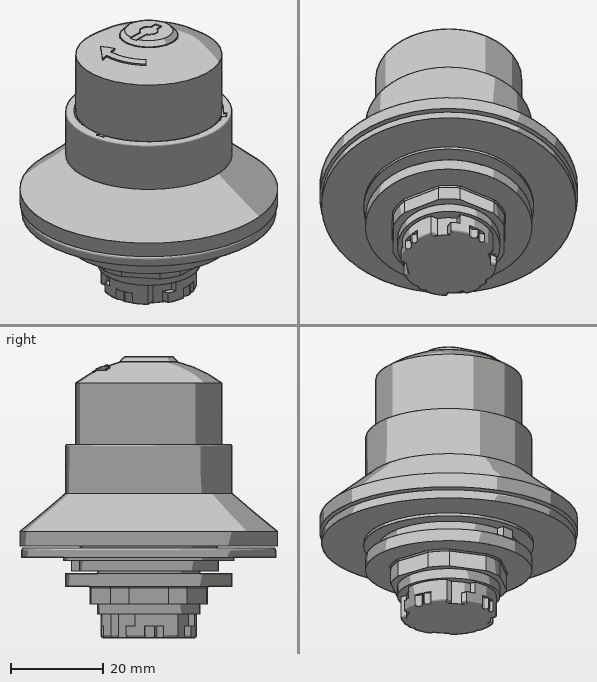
import cadquery as cq
import math

CORE_TOP = 5.1
NUT_BOTTOM = 7.3
WASHER_BOTTOM = 11.15
WASHER_TOP = 13.9
SPACER_BOTTOM = 14.4
SEAT_BOTTOM = 16.75
GASKET_BOTTOM = 17.4
GASKET_TOP = 19.5
RIM_BOTTOM = 19.85
RIM_TOP = 23.05
COLLAR_BOTTOM = 31.3
COLLAR_TOP = 41.85
KNOB_SHOULDER = 55.1
TOTAL_HEIGHT = 60.85

NECK_DIAMETER = 22.15
WASHER_DIAMETER = 36.0
SPACER_DIAMETER = 30.2
SEAT_DIAMETER = 36.8
GASKET_DIAMETER = 55.0
GAP_DIAMETER = 29.7
RIM_DIAMETER = 55.8
COLLAR_DIAMETER = 36.0
COLLAR_BORE_DIAMETER = 32.4

GASKET_EDGE_RADIUS = 0.6
COLLAR_EDGE_RADIUS = 0.4

COLLAR_RECESS_DEPTH = 0.3
NOTCH_DIAMETER = 34.0
NOTCH_WIDTH = 1.9
NOTCH_COUNT = 3

KNOB_FACETS = 36
KNOB_DIAMETER = 31.65
DOME_RADIUS = 26.15
DOME_CENTRE = KNOB_SHOULDER - math.sqrt(DOME_RADIUS**2 - (KNOB_DIAMETER / 2) ** 2)

LOCK_TOP_DIAMETER = 10.45
LOCK_DIAMETER = 12.5
LOCK_BORE_DIAMETER = 12.65
LOCK_CONE_HEIGHT = 1.05
LOCK_GAP_FLOOR = 59.3
KEY_DEPTH = 0.2
KEY_HOLE_DIAMETER = 4.0
KEY_SLOT_WIDTH = 1.7
KEY_SLOT_REACH = 3.4

ARROW_HEIGHT = 0.3
ARROW_RADIUS = 10.9
ARROW_HALF_ANGLE = 35.2
ARROW_NECK_ANGLE = 14.3
ARROW_SHAFT_WIDTH = 1.15
ARROW_HEAD_WIDTH = 3.35

TAB_WIDTH = 3.1
TAB_REACH = 16.75

NUT_ACROSS_FLATS = 24.0
NUT_CORNER_DIAMETER = 25.45
NUT_FLARE = 0.25
NUT_FLARE_HEIGHT = 0.35

CORE_DIAMETER = 18.2
LUG_DIAMETER = 20.7
LUG_COUNT = 4
LUG_START = -4.85
LUG_UPPER_START = -3.0
LUG_END = 6.3
LUG_ROOT = 5.5
LUG_LEDGE = 2.55
LUG_EDGE_RADIUS = 0.6
GRIP_GROOVES = ((1.0, 10.8, 1.15), (13.5, 10.65, 0.9))


def cylinder(diameter, bottom, top):
    return cq.Workplane("XY").workplane(offset=bottom).circle(diameter / 2).extrude(top - bottom)


def polar(radius, angle):
    """Point at an angle measured from -Y towards +X."""
    turn = math.radians(angle)
    return (radius * math.sin(turn), -radius * math.cos(turn))


def around_axis(shape, count):
    """The shape repeated evenly around the Z axis."""
    repeated = shape
    for index in range(1, count):
        repeated = repeated.union(shape.rotate((0, 0, 0), (0, 0, 1), index * 360 / count))
    return repeated


def make_bayonet():
    height = CORE_TOP
    lug_length = LUG_DIAMETER / 2 - LUG_ROOT
    lug = (
        cq.Workplane("XY")
        .box(LUG_END - LUG_START, lug_length, height, centered=False)
        .translate((LUG_START, -LUG_DIAMETER / 2, 0))
        .intersect(cylinder(LUG_DIAMETER, 0, height))
        .faces("<Z")
        .edges()
        .fillet(LUG_EDGE_RADIUS)
    )
    ledge = (
        cq.Workplane("XY")
        .box(LUG_UPPER_START - LUG_START, lug_length, height - LUG_LEDGE, centered=False)
        .translate((LUG_START, -LUG_DIAMETER / 2, LUG_LEDGE))
    )
    lug = lug.cut(ledge)
    for angle, distance, radius in GRIP_GROOVES:
        groove = cylinder(2 * radius, 0, LUG_LEDGE).translate((*polar(distance, angle), 0))
        lug = lug.cut(groove)
    return cylinder(CORE_DIAMETER, 0, height).union(around_axis(lug, LUG_COUNT))


def hexagon(across_flats, bottom, height, taper=0):
    """Hexagonal prism with two flats facing -X and +X."""
    across_corners = across_flats / math.cos(math.radians(30))
    return (
        cq.Workplane("XY")
        .workplane(offset=bottom)
        .polygon(6, across_corners)
        .extrude(height, taper=taper)
        .rotate((0, 0, 0), (0, 0, 1), 30)
    )


def make_nut():
    nut = hexagon(NUT_ACROSS_FLATS, NUT_BOTTOM, WASHER_BOTTOM - NUT_BOTTOM)
    nut = nut.intersect(cylinder(NUT_CORNER_DIAMETER, NUT_BOTTOM, WASHER_BOTTOM))
    flare_bottom = WASHER_BOTTOM - NUT_FLARE_HEIGHT
    flare_taper = -math.degrees(math.atan(NUT_FLARE / NUT_FLARE_HEIGHT))
    flare_cone = (
        cq.Workplane("XY")
        .workplane(offset=flare_bottom)
        .circle(NUT_CORNER_DIAMETER / 2)
        .extrude(NUT_FLARE_HEIGHT, taper=flare_taper)
    )
    flare = hexagon(NUT_ACROSS_FLATS, flare_bottom, NUT_FLARE_HEIGHT, flare_taper)
    return nut.union(flare.intersect(flare_cone))


def make_mounting_stack():
    """Neck, clamping washer, spacer with its tab, seat ring and gasket."""
    tab = (
        cq.Workplane("XY")
        .box(TAB_WIDTH, TAB_REACH, SEAT_BOTTOM - SPACER_BOTTOM, centered=(True, False, False))
        .translate((0, -TAB_REACH, SPACER_BOTTOM))
    )
    gasket = cylinder(GASKET_DIAMETER, GASKET_BOTTOM, GASKET_TOP)
    return (
        cylinder(NECK_DIAMETER, CORE_TOP, SPACER_BOTTOM)
        .union(cylinder(WASHER_DIAMETER, WASHER_BOTTOM, WASHER_TOP))
        .union(cylinder(SPACER_DIAMETER, SPACER_BOTTOM, SEAT_BOTTOM))
        .union(tab)
        .union(cylinder(SEAT_DIAMETER, SEAT_BOTTOM, GASKET_BOTTOM))
        .union(gasket.faces(">Z").edges().fillet(GASKET_EDGE_RADIUS))
        .union(cylinder(GAP_DIAMETER, GASKET_TOP, RIM_BOTTOM))
    )


def make_skirt():
    """Conical skirt and collar, with the recess that surrounds the knob."""
    skirt = (
        cq.Workplane("XZ")
        .moveTo(0, RIM_BOTTOM)
        .lineTo(RIM_DIAMETER / 2, RIM_BOTTOM)
        .lineTo(RIM_DIAMETER / 2, RIM_TOP)
        .lineTo(COLLAR_DIAMETER / 2, COLLAR_BOTTOM)
        .lineTo(COLLAR_DIAMETER / 2, COLLAR_TOP)
        .lineTo(0, COLLAR_TOP)
        .close()
        .revolve(360, (0, 0, 0), (0, 1, 0))
        .faces(">Z")
        .edges()
        .fillet(COLLAR_EDGE_RADIUS)
    )
    floor = COLLAR_TOP - COLLAR_RECESS_DEPTH
    notch = (
        cq.Workplane("XY")
        .box(NOTCH_WIDTH, NOTCH_DIAMETER, COLLAR_RECESS_DEPTH, centered=(True, False, False))
        .translate((0, -NOTCH_DIAMETER, floor))
        .intersect(cylinder(NOTCH_DIAMETER, floor, COLLAR_TOP))
    )
    skirt = skirt.cut(cylinder(COLLAR_BORE_DIAMETER, floor, COLLAR_TOP))
    return skirt.cut(around_axis(notch, NOTCH_COUNT))


def dome(radius):
    return cq.Workplane("XY").sphere(radius).translate((0, 0, DOME_CENTRE))


def make_arrow():
    tip_angle = -ARROW_HALF_ANGLE
    neck_angle = -ARROW_NECK_ANGLE
    tail_angle = ARROW_HALF_ANGLE
    middle_angle = (neck_angle + tail_angle) / 2
    inner = ARROW_RADIUS - ARROW_SHAFT_WIDTH / 2
    outer = ARROW_RADIUS + ARROW_SHAFT_WIDTH / 2
    prism = (
        cq.Workplane("XY")
        .workplane(offset=KNOB_SHOULDER)
        .moveTo(*polar(inner, neck_angle))
        .threePointArc(polar(inner, middle_angle), polar(inner, tail_angle))
        .lineTo(*polar(outer, tail_angle))
        .threePointArc(polar(outer, middle_angle), polar(outer, neck_angle))
        .lineTo(*polar(ARROW_RADIUS + ARROW_HEAD_WIDTH / 2, neck_angle))
        .lineTo(*polar(ARROW_RADIUS, tip_angle))
        .lineTo(*polar(ARROW_RADIUS - ARROW_HEAD_WIDTH / 2, neck_angle))
        .close()
        .extrude(TOTAL_HEIGHT - KNOB_SHOULDER)
    )
    return prism.intersect(dome(DOME_RADIUS + ARROW_HEIGHT))


def make_lock():
    cone_bottom = TOTAL_HEIGHT - LOCK_CONE_HEIGHT
    barrel = (
        cq.Workplane("XZ")
        .moveTo(0, LOCK_GAP_FLOOR)
        .lineTo(LOCK_DIAMETER / 2, LOCK_GAP_FLOOR)
        .lineTo(LOCK_DIAMETER / 2, cone_bottom)
        .lineTo(LOCK_TOP_DIAMETER / 2, TOTAL_HEIGHT)
        .lineTo(0, TOTAL_HEIGHT)
        .close()
        .revolve(360, (0, 0, 0), (0, 1, 0))
    )
    key_floor = TOTAL_HEIGHT - KEY_DEPTH
    slot_length = KEY_SLOT_REACH + LOCK_DIAMETER / 2
    slot = (
        cq.Workplane("XY")
        .box(KEY_SLOT_WIDTH, slot_length, KEY_DEPTH, centered=(True, False, False))
        .translate((0, -LOCK_DIAMETER / 2, key_floor))
    )
    return barrel.cut(slot).cut(cylinder(KEY_HOLE_DIAMETER, key_floor, TOTAL_HEIGHT))


def make_knob():
    bottom = COLLAR_TOP - COLLAR_RECESS_DEPTH
    knob = (
        cq.Workplane("XY")
        .workplane(offset=bottom)
        .polygon(KNOB_FACETS, KNOB_DIAMETER)
        .extrude(TOTAL_HEIGHT - bottom)
        .intersect(dome(DOME_RADIUS))
    )
    knob = knob.union(make_arrow())
    knob = knob.cut(cylinder(LOCK_BORE_DIAMETER, LOCK_GAP_FLOOR, TOTAL_HEIGHT))
    return knob.union(make_lock())


result = (
    make_bayonet()
    .union(make_mounting_stack())
    .union(make_nut())
    .union(make_skirt())
    .union(make_knob())
)